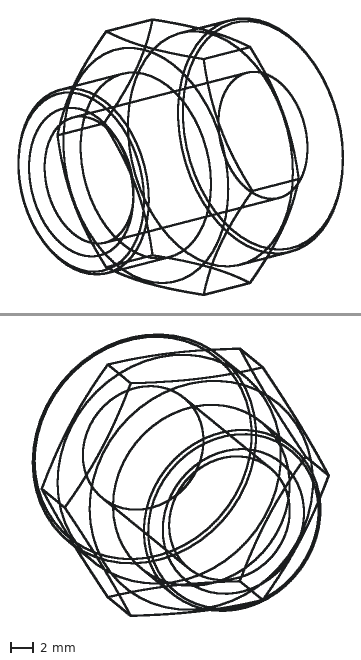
import cadquery as cq
import math

hex_across_corners = 25.4
hex_length = 8.0
small_diameter = 17.0
small_length = 8.0
large_diameter = 21.5
large_length = 6.5
bore_diameter = 11.6
countersink_diameter = 13.6
countersink_half_angle = 45.0
end_chamfer = 0.3
hex_chamfer_angle = 30.0

hex_start = small_length
hex_end = hex_start + hex_length
total_length = hex_end + large_length
corner_radius = hex_across_corners / 2
face_radius = large_diameter / 2
hex_chamfer_depth = (corner_radius - face_radius) * math.tan(math.radians(hex_chamfer_angle))


def revolve_about_y(points):
    """Turn a (radius, y) outline a full circle about the Y axis."""
    return cq.Workplane("XY").polyline(points).close().revolve(360, (0, 0, 0), (0, 1, 0))


def make_hex():
    """Hexagon with corners on X and both ends turned to a shallow cone."""
    prism = (
        cq.Workplane("XZ", origin=(0, hex_start, 0))
        .polygon(6, hex_across_corners)
        .extrude(-hex_length)
    )
    chamfer_envelope = revolve_about_y([
        (0, hex_start),
        (face_radius, hex_start),
        (corner_radius, hex_start + hex_chamfer_depth),
        (corner_radius, hex_end - hex_chamfer_depth),
        (face_radius, hex_end),
        (0, hex_end),
    ])
    return prism.intersect(chamfer_envelope)


def make_barrels():
    """Small and large cylinders with a chamfer on each outer end."""
    small_radius = small_diameter / 2
    large_radius = large_diameter / 2
    return revolve_about_y([
        (0, 0),
        (small_radius - end_chamfer, 0),
        (small_radius, end_chamfer),
        (small_radius, hex_end),
        (large_radius, hex_end),
        (large_radius, total_length - end_chamfer),
        (large_radius - end_chamfer, total_length),
        (0, total_length),
    ])


def make_bore():
    """Through bore with a conical mouth at the small end."""
    bore_radius = bore_diameter / 2
    mouth_radius = countersink_diameter / 2
    mouth_depth = (mouth_radius - bore_radius) / math.tan(math.radians(countersink_half_angle))
    return revolve_about_y([
        (0, 0),
        (mouth_radius, 0),
        (bore_radius, mouth_depth),
        (bore_radius, total_length),
        (0, total_length),
    ])


result = make_hex().union(make_barrels()).cut(make_bore())